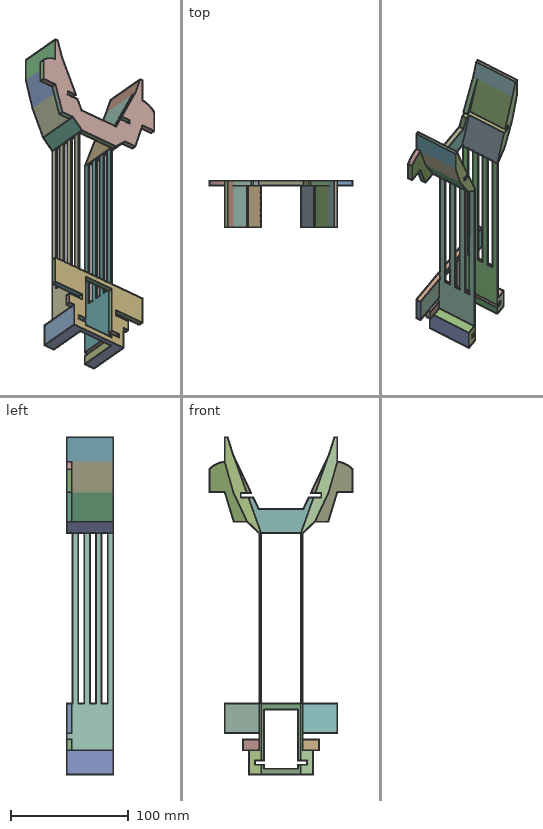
import cadquery as cq

depth = 40.0
height = 286.8
plate_thickness = 4.3
plate_front = depth - plate_thickness

wall_inner = 17.0
wall_thickness = 1.7
wall_outer = wall_inner + wall_thickness
strip_count = 4
strip_width = depth / (2 * strip_count)

foot_block_outer = 27.2
foot_block_top = 20.6
foot_tab_outer = 32.5
foot_tab_top = 30.0
foot_wing_bottom = 35.3
foot_wing_top = 60.5
window_half_width = 14.3
window_bottom = 5.2
window_top = 55.3
foot_slot_end = 22.0
foot_slot_bottom = 8.5

wing_half_width = 48.0
head_bottom = 205.3
web_top = 226.0
tip_width = 2.5
outer_lower_kink = (28.7, 214.8)
outer_middle_kink = (40.5, 239.7)
outer_upper_kink = (wing_half_width, 266.0)
inner_kink = (40.5, 271.3)
web_half_width = 19.0
overall_width = 122.0
ear_outer = overall_width / 2
ear_side_top = 259.5
ear_arch_point = (54.8, 264.0)
ear_bottom = 240.0
ear_foot_inner = 40.1
head_slot_end = 34.0
head_slot_bottom = 235.7

slot_height = 3.5


def prism(sketch, front=0.0):
    """Close an XZ outline and extrude it from the given Y to the back face."""
    return sketch.close().extrude(-(depth - front))


def xz_plane(front=0.0):
    """Workplane facing the front, at the given Y."""
    return cq.Workplane("XZ", origin=(0, front, 0))


def block(x_min, x_max, z_min, z_max, front=0.0):
    """Box between X and Z limits that reaches the back face."""
    size = (x_max - x_min, depth - front, z_max - z_min)
    return cq.Workplane("XY").box(*size, centered=False).translate((x_min, front, z_min))


def head_arm():
    """Full-depth kinked jaw arm on the +X side."""
    outline = [
        (wall_inner, head_bottom),
        (wall_outer, head_bottom),
        outer_lower_kink,
        outer_middle_kink,
        outer_upper_kink,
        (wing_half_width, height),
        (wing_half_width - tip_width, height),
        inner_kink,
    ]
    return prism(xz_plane().polyline(outline))


def head_plate():
    """+X half of the head's back plate, with an arched ear outside the arm."""
    sketch = (
        xz_plane(plate_front)
        .moveTo(0, head_bottom)
        .lineTo(wall_outer, head_bottom)
        .lineTo(*outer_lower_kink)
        .lineTo(ear_foot_inner, outer_lower_kink[1])
        .lineTo(wing_half_width, ear_bottom)
        .lineTo(ear_outer, ear_bottom)
        .lineTo(ear_outer, ear_side_top)
        .threePointArc(ear_arch_point, outer_upper_kink)
        .lineTo(*inner_kink)
        .lineTo(web_half_width, web_top)
        .lineTo(0, web_top)
    )
    return prism(sketch, plate_front)


def flexure_wall():
    """Thin wall cut into parallel strips between the foot and head plates."""
    wall = block(wall_inner, wall_outer, 0, head_bottom)
    strip_gap = cq.Workplane("XY").box(
        wall_thickness, strip_width, head_bottom - foot_wing_top, centered=False
    )
    for index in range(strip_count):
        gap_front = (2 * index + 1) * strip_width
        wall = wall.cut(strip_gap.translate((wall_inner, gap_front, foot_wing_top)))
    return wall


def foot():
    """+X half of the foot: full-depth block, back plate with window, wing and tab."""
    plate = block(0, wall_outer, 0, foot_wing_top, plate_front)
    plate = plate.cut(block(0, window_half_width, window_bottom, window_top, plate_front))
    wing = block(wall_inner, wing_half_width, foot_wing_bottom, foot_wing_top, plate_front)
    tab = block(wall_inner, foot_tab_outer, foot_block_top, foot_tab_top, plate_front)
    clamp = block(wall_inner, foot_block_outer, 0, foot_block_top)
    return plate.union(wing).union(tab).union(clamp)


def edge_slot(slot_end, slot_bottom):
    """Slot open toward the centre that runs the full depth."""
    return block(0, slot_end, slot_bottom, slot_bottom + slot_height)


half = foot().union(flexure_wall()).union(head_arm()).union(head_plate())
half = half.cut(edge_slot(foot_slot_end, foot_slot_bottom))
half = half.cut(edge_slot(head_slot_end, head_slot_bottom))
result = half.union(half.mirror("YZ")).clean()